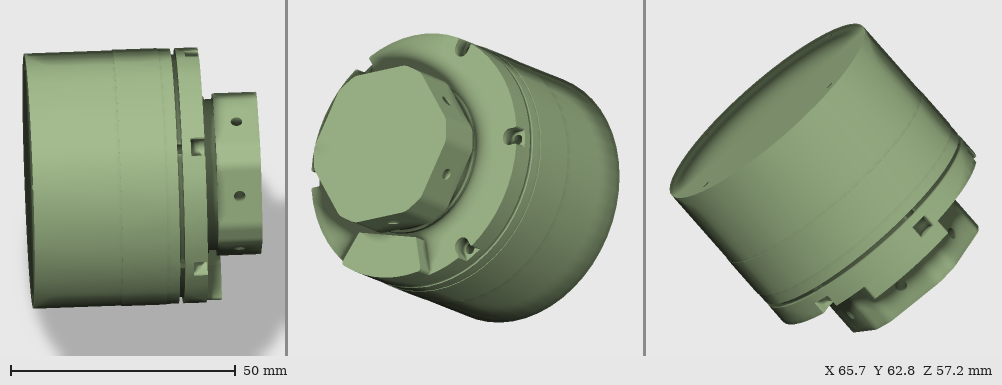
import cadquery as cq
import math

TILT = 17.2
SHELL_RADIUS = 28.45
BAND_RADIUS = 28.6
GROOVE_RADIUS = 27.0

BASE_TOP = 19.6
BAND_TOP = 29.6
GROOVE_BOTTOM = 32.4
GROOVE_TOP = 33.5
FLANGE_TOP = 38.6

REAR_HOLE_SPACING = 36.0
REAR_HOLE_DIAMETER = 1.7
REAR_HOLE_DEPTH = 6.6

SCREW_COUNT = 6
SCREW_CIRCLE_RADIUS = 26.55
SCREW_HOLE_DIAMETER = 2.35
SCREW_HOLE_DEPTH = 7.9
SEAT_WIDTH = 3.8
SEAT_FLOOR = 35.5
SEAT_CHAMFER = 0.25

STOP_ANGLE = -104.2
STOP_SPREAD = 47.0
STOP_INNER = 20.4
STOP_TOP = 42.25
STOP_FILLET = 0.8

COLLAR_RADIUS = 17.5
COLLAR_TOP = 39.5
NECK_RADIUS = 16.8
HUB_BOTTOM = 41.4
HUB_TOP = 51.25
HUB_FLAT_RADIUS = 17.1
HUB_CORNER_RADIUS = 18.35
HUB_FILLET = 4.0
HUB_SIDES = 6
HUB_HOLE_DIAMETER = 2.55


def disc(radius, bottom, top):
    """Cylinder about the drive axis between two heights."""
    return cq.Workplane("XY").workplane(offset=bottom).circle(radius).extrude(top - bottom)


def hexagon_prism(flat_radius, turn, bottom, top):
    """Hexagonal prism whose sides lie at flat_radius from the drive axis."""
    corner_diameter = 2 * flat_radius / math.cos(math.pi / HUB_SIDES)
    base_plane = cq.Workplane("XY").workplane(offset=bottom)
    return turned(base_plane.polygon(HUB_SIDES, corner_diameter).extrude(top - bottom), turn)


def turned(body, angle):
    """Turn a shape about the drive axis."""
    return body.rotate((0, 0, 0), (0, 0, 1), angle)


def make_base():
    base = disc(SHELL_RADIUS, 0, BASE_TOP)
    return (
        base.faces("<Z").workplane(origin=(0, 0, 0))
        .rect(REAR_HOLE_SPACING, REAR_HOLE_SPACING, forConstruction=True)
        .vertices().circle(REAR_HOLE_DIAMETER / 2).cutBlind(-REAR_HOLE_DEPTH)
    )


def screw_seat(angle):
    """Round-ended screw seat, open and chamfered at the flange edge, with its screw hole."""
    floor = cq.Workplane("XY").workplane(offset=SEAT_FLOOR)
    height = FLANGE_TOP - SEAT_FLOOR
    half = SEAT_WIDTH / 2
    edge = math.sqrt(SHELL_RADIUS**2 - (half + SEAT_CHAMFER) ** 2)
    chamfer_start = edge - SEAT_CHAMFER
    chamfer_end = edge + SEAT_CHAMFER
    wide_half = half + 2 * SEAT_CHAMFER
    seat = (
        floor.moveTo(SCREW_CIRCLE_RADIUS, -half)
        .lineTo(chamfer_start, -half)
        .lineTo(chamfer_end, -wide_half)
        .lineTo(chamfer_end, wide_half)
        .lineTo(chamfer_start, half)
        .lineTo(SCREW_CIRCLE_RADIUS, half)
        .threePointArc((SCREW_CIRCLE_RADIUS - half, 0), (SCREW_CIRCLE_RADIUS, -half))
        .close().extrude(height)
    )
    hole = (
        floor.center(SCREW_CIRCLE_RADIUS, 0)
        .circle(SCREW_HOLE_DIAMETER / 2).extrude(-SCREW_HOLE_DEPTH)
    )
    return turned(seat.union(hole), angle)


def make_stop():
    half_spread = math.radians(STOP_SPREAD / 2)
    across = math.cos(half_spread)
    aside = math.sin(half_spread)
    block = (
        cq.Workplane("XY").workplane(offset=FLANGE_TOP)
        .moveTo(STOP_INNER * across, -STOP_INNER * aside)
        .lineTo(SHELL_RADIUS * across, -SHELL_RADIUS * aside)
        .threePointArc((SHELL_RADIUS, 0), (SHELL_RADIUS * across, SHELL_RADIUS * aside))
        .lineTo(STOP_INNER * across, STOP_INNER * aside)
        .close().extrude(STOP_TOP - FLANGE_TOP)
    )
    outer_corners = cq.selectors.BoxSelector(
        (SHELL_RADIUS * across - STOP_FILLET, -SHELL_RADIUS, FLANGE_TOP),
        (SHELL_RADIUS * across + STOP_FILLET, SHELL_RADIUS, STOP_TOP),
    )
    block = block.edges("|Z").edges(outer_corners).fillet(STOP_FILLET)
    return turned(block, STOP_ANGLE)


def make_gearbox():
    gearbox = (
        disc(BAND_RADIUS, BASE_TOP, BAND_TOP)
        .union(disc(SHELL_RADIUS, BAND_TOP, GROOVE_BOTTOM))
        .union(disc(GROOVE_RADIUS, GROOVE_BOTTOM, GROOVE_TOP))
        .union(disc(SHELL_RADIUS, GROOVE_TOP, FLANGE_TOP))
    )
    for index in range(SCREW_COUNT):
        gearbox = gearbox.cut(screw_seat(index * 360 / SCREW_COUNT))
    return gearbox.union(make_stop())


def make_hub():
    wide_sides = hexagon_prism(HUB_FLAT_RADIUS, 0, HUB_BOTTOM, HUB_TOP)
    narrow_sides = hexagon_prism(HUB_CORNER_RADIUS, 180 / HUB_SIDES, HUB_BOTTOM, HUB_TOP)
    hub = wide_sides.intersect(narrow_sides).edges("|Z").fillet(HUB_FILLET)
    hub = hub.union(disc(NECK_RADIUS, COLLAR_TOP, HUB_BOTTOM))
    hub = hub.union(disc(COLLAR_RADIUS, FLANGE_TOP, COLLAR_TOP))
    cross_hole = (
        cq.Workplane("XZ").center(0, (HUB_BOTTOM + HUB_TOP) / 2)
        .circle(HUB_HOLE_DIAMETER / 2).extrude(HUB_CORNER_RADIUS, both=True)
    )
    for index in range(HUB_SIDES // 2):
        hub = hub.cut(turned(cross_hole, index * 360 / HUB_SIDES))
    return hub


lean = math.radians(TILT)
DRIVE_PLANE = cq.Plane(
    origin=(0, 0, 0),
    xDir=(-math.cos(lean), math.sin(lean), 0),
    normal=(math.sin(lean), math.cos(lean), 0),
)


def place(body):
    return body.val().moved(cq.Location(DRIVE_PLANE))


base = place(make_base())
gearbox = place(make_gearbox())
hub = place(make_hub())
result = cq.Compound.makeCompound([base, gearbox, hub])